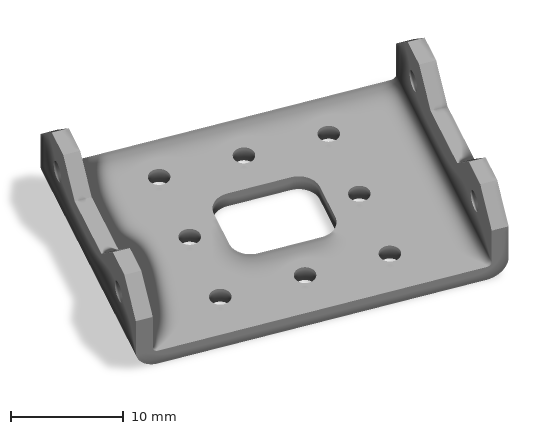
import cadquery as cq

WIDTH = 25.0
LENGTH = 35.17
HEIGHT = 9.0
THICKNESS = 1.6
INNER_BEND_RADIUS = 0.5
OUTER_BEND_RADIUS = INNER_BEND_RADIUS + THICKNESS

SHOULDER_HEIGHT = 6.0
EAR_SLOPE = HEIGHT - SHOULDER_HEIGHT
EAR_TOP_WIDTH = 3.0
EAR_HOLE_HEIGHT = 5.5

HOLE_DIAMETER = 2.0
HOLE_PITCH = 8.0
WINDOW_WIDTH = 8.0
WINDOW_LENGTH = 10.0
WINDOW_RADIUS = 2.0


def channel():
    """U-shaped sheet with rounded bends, centred on X and Y, base at Z = 0."""
    outer = (
        cq.Workplane("XY")
        .box(WIDTH, LENGTH, HEIGHT, centered=(True, True, False))
        .edges("|X and <Z")
        .fillet(OUTER_BEND_RADIUS)
    )
    inner = (
        cq.Workplane("XY")
        .workplane(offset=THICKNESS)
        .box(WIDTH, LENGTH - 2 * THICKNESS, HEIGHT, centered=(True, True, False))
        .edges("|X and <Z")
        .fillet(INNER_BEND_RADIUS)
    )
    return outer.cut(inner)


def flange_envelope():
    """Front outline with two sloped ears, extruded over the whole length."""
    side = WIDTH / 2
    ear_outer = side - EAR_SLOPE
    ear_inner = ear_outer - EAR_TOP_WIDTH
    notch_side = ear_inner - EAR_SLOPE
    right_half = [
        (side, 0),
        (side, SHOULDER_HEIGHT),
        (ear_outer, HEIGHT),
        (ear_inner, HEIGHT),
        (notch_side, SHOULDER_HEIGHT),
    ]
    left_half = [(-x, z) for x, z in reversed(right_half)]
    return (
        cq.Workplane("XZ")
        .polyline(right_half + left_half)
        .close()
        .extrude(LENGTH / 2, both=True)
    )


def ear_holes():
    """Cylinders along Y through both flanges, one per ear."""
    return (
        cq.Workplane("XZ")
        .pushPoints([(-HOLE_PITCH, EAR_HOLE_HEIGHT), (HOLE_PITCH, EAR_HOLE_HEIGHT)])
        .circle(HOLE_DIAMETER / 2)
        .extrude(LENGTH, both=True)
    )


def base_holes():
    """Square grid of eight holes around the window, through the base."""
    steps = (-HOLE_PITCH, 0, HOLE_PITCH)
    centres = [(x, y) for x in steps for y in steps if (x, y) != (0, 0)]
    return (
        cq.Workplane("XY")
        .pushPoints(centres)
        .circle(HOLE_DIAMETER / 2)
        .extrude(THICKNESS)
    )


def window():
    """Rounded rectangular opening at the middle of the base."""
    return (
        cq.Workplane("XY")
        .rect(WINDOW_WIDTH, WINDOW_LENGTH)
        .extrude(THICKNESS)
        .edges("|Z")
        .fillet(WINDOW_RADIUS)
    )


result = (
    channel()
    .intersect(flange_envelope())
    .cut(ear_holes())
    .cut(base_holes())
    .cut(window())
)